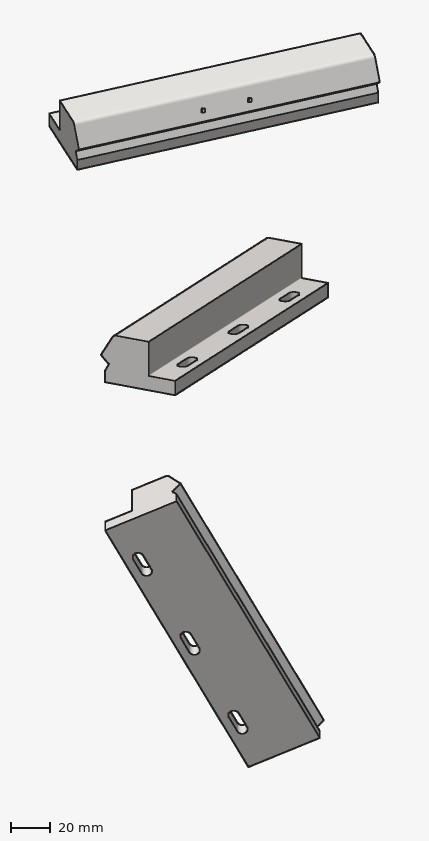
import cadquery as cq
import math

length = 161.2
width = 42.2
height = 26.0

flange_width = 15.0
flange_height = 7.7
base_width = 40.0
top_edge_x = 35.0
top_edge_radius = 2.5
nose_height = 14.2
notch_x = 37.7
notch_height = 10.0
base_side_height = 6.1
inner_corner_radius = 0.5

slot_count = 3
slot_pitch = length / slot_count
slot_length = 15.0
slot_width = 5.5

hole_diameter = 2.3
hole_depth = 4.8
hole_x = 39.3
hole_pitch = 25.0
hole_pair_y = -0.5

profile = [
    (0, 0),
    (base_width, 0),
    (base_width, base_side_height),
    (notch_x, notch_height),
    (width, nose_height),
    (top_edge_x, height),
    (flange_width, height),
    (flange_width, flange_height),
    (0, flange_height),
]
rail = cq.Workplane("XZ").polyline(profile).close().extrude(length / 2, both=True)

top_edge = cq.selectors.NearestToPointSelector((top_edge_x, 0, height))
rail = rail.edges(top_edge).fillet(top_edge_radius)

inner_corner = cq.selectors.NearestToPointSelector((flange_width, 0, flange_height))
rail = rail.edges(inner_corner).fillet(inner_corner_radius)

slots = (
    cq.Workplane("XY")
    .center(flange_width / 2, 0)
    .rarray(1.6, slot_pitch, 1, slot_count)
    .slot2D(slot_length, slot_width, 90)
    .extrude(flange_height)
)
rail = rail.cut(slots)

slope_run = width - top_edge_x
slope_drop = height - nose_height
slope_length = math.hypot(slope_run, slope_drop)
hole_z = nose_height + (width - hole_x) * slope_drop / slope_run
inward = cq.Vector(-slope_drop / slope_length, 0, -slope_run / slope_length)

for hole_y in (hole_pair_y - hole_pitch / 2, hole_pair_y + hole_pitch / 2):
    mouth = cq.Vector(hole_x, hole_y, hole_z)
    rail = rail.cut(cq.Solid.makeCylinder(hole_diameter / 2, hole_depth, mouth, inward))

result = rail